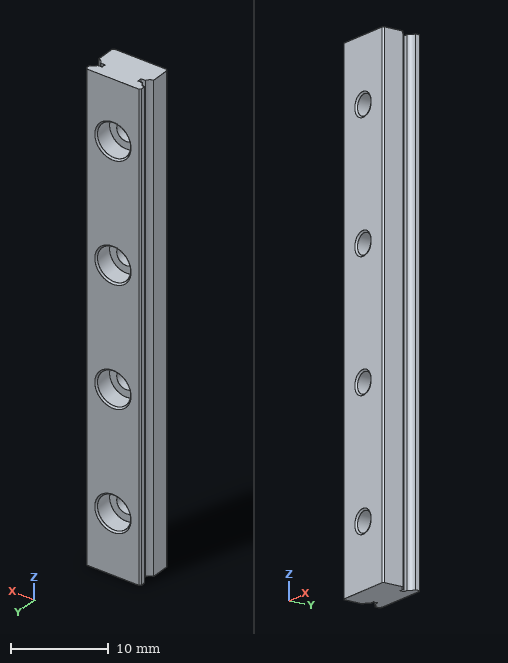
import cadquery as cq

rail_width = 7.0
rail_height = 4.8
rail_length = 60.0

corner_chamfer = 0.2

groove_centre_height = 3.3
groove_radius = 0.8
groove_centre_offset = 0.1
relief_width = 0.5
relief_depth = 1.2

hole_count = 4
hole_pitch = 15.0
hole_diameter = 2.4
counterbore_diameter = 4.2
counterbore_depth = 2.3
hole_chamfer = 0.2

half_width = rail_width / 2
base_y = -rail_height / 2
top_y = rail_height / 2


def rail_body():
    """Rectangular bar along Z with chamfered long edges."""
    return cq.Workplane("XY").box(rail_width, rail_height, rail_length).edges("|Z").chamfer(corner_chamfer)


def groove_cutter(side):
    """Ball groove and relief slot in one flank; side is +1 or -1 along X."""
    groove_y = base_y + groove_centre_height
    ball_track = (
        cq.Workplane("XY")
        .center(side * (half_width + groove_centre_offset), groove_y)
        .circle(groove_radius)
        .extrude(rail_length / 2, both=True)
    )
    relief_slot = (
        cq.Workplane("XY")
        .center(side * (half_width - relief_depth / 2), groove_y)
        .rect(relief_depth, relief_width)
        .extrude(rail_length / 2, both=True)
    )
    return ball_track.union(relief_slot)


def mounting_hole(z):
    """Counterbored hole along Y, chamfered at both mouths, as a revolved cutter."""
    hole_radius = hole_diameter / 2
    counterbore_radius = counterbore_diameter / 2
    counterbore_floor = top_y - counterbore_depth
    half_section = [
        (0, base_y),
        (hole_radius + hole_chamfer, base_y),
        (hole_radius, base_y + hole_chamfer),
        (hole_radius, counterbore_floor),
        (counterbore_radius, counterbore_floor),
        (counterbore_radius, top_y - hole_chamfer),
        (counterbore_radius + hole_chamfer, top_y),
        (0, top_y),
    ]
    cutter = cq.Workplane("XY").polyline(half_section).close().revolve(360, (0, 0), (0, 1))
    return cutter.translate((0, 0, z))


result = rail_body()

for flank_side in (-1, 1):
    result = result.cut(groove_cutter(flank_side))

first_hole_z = -hole_pitch * (hole_count - 1) / 2
for hole_index in range(hole_count):
    result = result.cut(mounting_hole(first_hole_z + hole_index * hole_pitch))